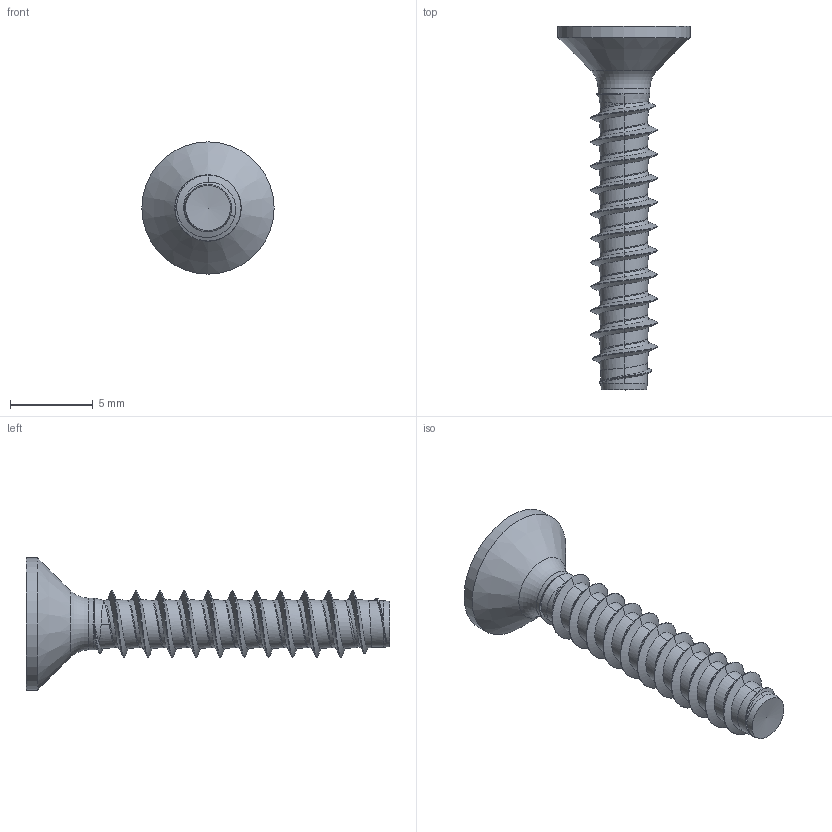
import cadquery as cq
import math


length = 22.0
head_radius = 4.0
rim_height = 0.7
cone_angle = math.radians(45)
neck_radius = 1.57
fillet_radius = 1.5
cone_end_radius = neck_radius + fillet_radius * (1 - math.cos(cone_angle))
cone_end_depth = rim_height + (head_radius - cone_end_radius) / math.tan(cone_angle)
fillet_end_depth = cone_end_depth + fillet_radius * math.sin(cone_angle)
neck_end_depth = 4.1
relief_end_depth = 4.7

core_radius = 1.42
tip_radius = 1.36
tip_taper = 0.4
tip_dish = 0.1

pitch = 1.457
major_radius = 2.0
shoulder_radius = 1.49
crest_half_width = 0.02
flank_slope = 0.4
lead_width = 0.47
tail_width = 0.98
foot_sink = 0.004
foot_radius = core_radius - foot_sink
inner_radius = 1.1

start_turn = 0.0
lift_turn = 0.25
full_start_turn = 1.0
full_end_turn = 11.0
end_turn = 12.4
helix_origin_depth = 3.73
start_crest_radius = 1.56
lift_crest_radius = 1.64
start_tail_width = 0.55
end_tail_width = 0.3
end_crest_radius = 1.40
end_shoulder_radius = tip_radius
end_foot_radius = tip_radius - foot_sink
points_per_turn = 24


def helix_depth(turn):
    """Depth of the crest; the first quarter turn stays level."""
    return helix_origin_depth + pitch * max(turn, lift_turn)


def thread_station(turn, crest, shoulder, foot, tail):
    """Sizes of the thread section at one turn position."""
    return {"turn": turn, "crest": crest, "shoulder": shoulder, "foot": foot, "tail": tail}


def blend(first, last, fraction):
    """Station lying between two others."""
    return {key: first[key] + (last[key] - first[key]) * fraction for key in first}


def split_into_turns(stations):
    """Stations with more added between them, so that no stretch is longer than one turn."""
    pieces = [stations[0]]
    for first, last in zip(stations, stations[1:]):
        count = math.ceil(last["turn"] - first["turn"])
        pieces += [blend(first, last, i / count) for i in range(1, count + 1)]
    return pieces


def section_points(station):
    """Corners of the thread section in its axial plane, from the head side to the tip side."""
    half_base = crest_half_width + flank_slope * (station["crest"] - station["shoulder"])
    corners = [
        (-lead_width, inner_radius),
        (-lead_width, station["foot"]),
        (-half_base, station["shoulder"]),
        (-crest_half_width, station["crest"]),
        (crest_half_width, station["crest"]),
        (half_base, station["shoulder"]),
        (station["tail"], station["foot"]),
        (station["tail"], inner_radius),
    ]
    depth = helix_depth(station["turn"])
    angle = 2 * math.pi * station["turn"]
    return [
        cq.Vector(-radius * math.sin(angle), -(depth + offset), radius * math.cos(angle))
        for offset, radius in corners
    ]


def thread_solid(stations):
    """Closed shell of ruled helical faces through the stations, capped at both ends."""
    faces = []
    for first, last in zip(stations, stations[1:]):
        steps = math.ceil((last["turn"] - first["turn"]) * points_per_turn)
        sections = [section_points(blend(first, last, i / steps)) for i in range(steps + 1)]
        edges = [cq.Edge.makeSpline(list(path)) for path in zip(*sections)]
        for edge, neighbour in zip(edges, edges[1:] + edges[:1]):
            faces.append(cq.Face.makeRuledSurface(edge, neighbour))
    for station in (stations[0], stations[-1]):
        outline = cq.Wire.makePolygon(section_points(station), close=True)
        faces.append(cq.Face.makeFromWires(outline))
    shell = cq.Shell.makeShell(faces)
    return cq.Solid.makeSolid(shell)


def make_blank():
    """Head, neck and core turned about the Y axis."""
    fillet_mid = (
        neck_radius + fillet_radius * (1 - math.cos(cone_angle / 2)),
        -(fillet_end_depth - fillet_radius * math.sin(cone_angle / 2)),
    )
    return (
        cq.Workplane("ZY")
        .lineTo(head_radius, 0)
        .lineTo(head_radius, -rim_height)
        .lineTo(cone_end_radius, -cone_end_depth)
        .threePointArc(fillet_mid, (neck_radius, -fillet_end_depth))
        .lineTo(neck_radius, -neck_end_depth)
        .lineTo(core_radius, -relief_end_depth)
        .lineTo(core_radius, -(length - tip_taper))
        .lineTo(tip_radius, -length)
        .lineTo(0, -length)
        .close()
        .revolve(360, (0, 0, 0), (0, 1, 0))
    )


def make_thread():
    """Single-start right-hand thread, cut off flush with the tip."""
    stations = [
        thread_station(start_turn, start_crest_radius, shoulder_radius, foot_radius, start_tail_width),
        thread_station(lift_turn, lift_crest_radius, shoulder_radius, foot_radius, tail_width),
        thread_station(full_start_turn, major_radius, shoulder_radius, foot_radius, tail_width),
        thread_station(full_end_turn, major_radius, shoulder_radius, foot_radius, tail_width),
        thread_station(end_turn, end_crest_radius, end_shoulder_radius, end_foot_radius, end_tail_width),
    ]
    envelope = cq.Workplane("XZ").circle(head_radius).extrude(length)
    return cq.Workplane(thread_solid(split_into_turns(stations))).intersect(envelope)


def make_tip_dish():
    """Cone that hollows the end face."""
    return (
        cq.Workplane("ZY")
        .moveTo(0, -length)
        .lineTo(tip_radius, -length)
        .lineTo(0, -(length - tip_dish))
        .close()
        .revolve(360, (0, 0, 0), (0, 1, 0))
    )


result = make_blank().union(make_thread()).cut(make_tip_dish())